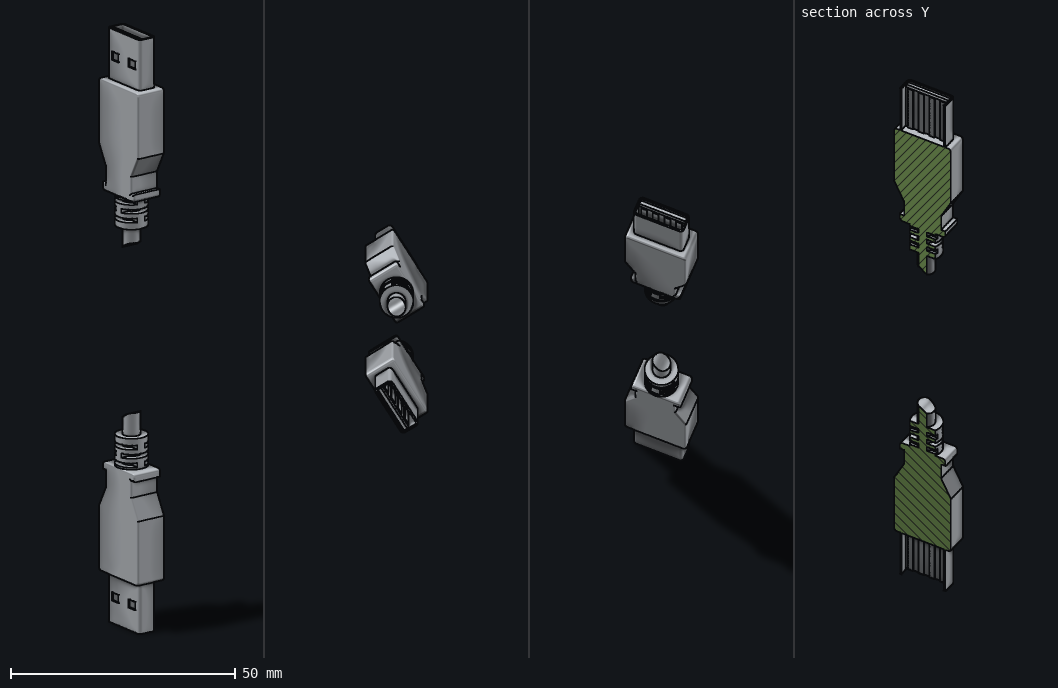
import cadquery as cq

TOTAL_HEIGHT = 139.6

SHELL_WIDTH = 12.0
SHELL_DEPTH = 4.5
SHELL_LENGTH = 11.9
SHELL_CORNER = 0.8
SHELL_WALL = 0.4
CAVITY_WIDTH = SHELL_WIDTH - 2 * SHELL_WALL
CAVITY_DEPTH = SHELL_DEPTH - 2 * SHELL_WALL

TONGUE_DEPTH = 1.3
TONGUE_GAP = 0.35
TONGUE_BEVEL = 0.4
TONGUE_RECESS = 0.3
CONTACT_COUNT = 4
CONTACT_PITCH = 2.8
CONTACT_WIDTH = 1.4
CONTACT_HEIGHT = 0.3

WINDOW_WIDTH = 2.5
WINDOW_HEIGHT = 2.0
WINDOW_SPACING = 6.3
WINDOW_DROP = 6.3

GRIP_WIDTH = 15.0
GRIP_DEPTH = 7.5
GRIP_FACE_ROUND = 0.49
GRIP_END_ROUND = 0.8
NECK_WIDTH = 9.8
COLLAR_WIDTH = 12.0
GRIP_STRAIGHT = 15.4
TAPER_LENGTH = 4.9
NECK_LENGTH = 3.9
COLLAR_LENGTH = 2.0

SLEEVE_DIAMETER = 7.5
SLEEVE_LENGTH = 7.3
SLOT_HEIGHT = 1.0
SLOT_PITCH = 2.1
SLOT_COUNT = 3
FIRST_SLOT_DROP = 1.0
WEB_WIDTH = 2.1

CABLE_DIAMETER = 4.0
PLUG_LENGTH = 50.7
BREAK_HEIGHT = 1.7
BREAK_SAG = 0.21

TONGUE_TOP = TOTAL_HEIGHT - TONGUE_RECESS
GRIP_TOP = TOTAL_HEIGHT - SHELL_LENGTH
TAPER_TOP = GRIP_TOP - GRIP_STRAIGHT
NECK_TOP = TAPER_TOP - TAPER_LENGTH
COLLAR_TOP = NECK_TOP - NECK_LENGTH
GRIP_BOTTOM = COLLAR_TOP - COLLAR_LENGTH
SLEEVE_BOTTOM = GRIP_BOTTOM - SLEEVE_LENGTH
CABLE_BOTTOM = TOTAL_HEIGHT - PLUG_LENGTH


def box(width, depth, bottom, top, x=0, y=0):
    """Upright box centred on (x, y) between two levels."""
    return (
        cq.Workplane("XY", origin=(x, y, bottom))
        .rect(width, depth)
        .extrude(top - bottom)
    )


def make_shell():
    """Thin rectangular shell, open at the top, with two latch windows in its -Y wall."""
    shell = box(SHELL_WIDTH, SHELL_DEPTH, GRIP_TOP, TOTAL_HEIGHT).edges("|Z").fillet(SHELL_CORNER)
    cavity = box(CAVITY_WIDTH, CAVITY_DEPTH, GRIP_TOP, TOTAL_HEIGHT)
    cavity = cavity.edges("|Z").fillet(SHELL_CORNER - SHELL_WALL)
    shell = shell.cut(cavity)

    window_middle = TOTAL_HEIGHT - WINDOW_DROP
    for side in (-1, 1):
        window = box(
            WINDOW_WIDTH,
            2 * SHELL_WALL,
            window_middle - WINDOW_HEIGHT / 2,
            window_middle + WINDOW_HEIGHT / 2,
            side * WINDOW_SPACING / 2,
            -SHELL_DEPTH / 2,
        )
        shell = shell.cut(window)
    return shell


def make_tongue():
    """Tongue across the shell, close to its -Y wall, with raised contacts on its +Y face."""
    back = -CAVITY_DEPTH / 2 + TONGUE_GAP
    front = back + TONGUE_DEPTH
    tongue = box(CAVITY_WIDTH, TONGUE_DEPTH, GRIP_TOP, TONGUE_TOP, y=(back + front) / 2)
    tongue = tongue.faces(">Z").edges(">Y").chamfer(TONGUE_BEVEL)
    contact_top = TONGUE_TOP - TONGUE_BEVEL
    for index in range(CONTACT_COUNT):
        x = (index - (CONTACT_COUNT - 1) / 2) * CONTACT_PITCH
        contact = box(CONTACT_WIDTH, 2 * CONTACT_HEIGHT, GRIP_TOP, contact_top, x, front)
        tongue = tongue.union(contact)
    return tongue


def make_grip():
    """Grip that narrows to a neck and ends in a collar, with rounded outer edges."""
    right_side = [
        (GRIP_WIDTH / 2, GRIP_TOP),
        (GRIP_WIDTH / 2, TAPER_TOP),
        (NECK_WIDTH / 2, NECK_TOP),
        (NECK_WIDTH / 2, COLLAR_TOP),
        (COLLAR_WIDTH / 2, COLLAR_TOP),
        (COLLAR_WIDTH / 2, GRIP_BOTTOM),
    ]
    left_side = [(-x, z) for x, z in reversed(right_side)]
    grip = (
        cq.Workplane("XZ")
        .polyline(right_side + left_side)
        .close()
        .extrude(GRIP_DEPTH / 2, both=True)
    )
    grip = grip.faces("<Z or >Z").edges("|Y").fillet(GRIP_END_ROUND)
    return grip.faces("<Y or >Y").edges().fillet(GRIP_FACE_ROUND)


def make_sleeve():
    """Round sleeve with slots whose webs turn a quarter turn from one level to the next."""
    sleeve = cq.Workplane("XY", origin=(0, 0, SLEEVE_BOTTOM)).circle(SLEEVE_DIAMETER / 2)
    sleeve = sleeve.extrude(SLEEVE_LENGTH)
    for index in range(SLOT_COUNT):
        middle = GRIP_BOTTOM - FIRST_SLOT_DROP - index * SLOT_PITCH
        bottom = middle - SLOT_HEIGHT / 2
        top = middle + SLOT_HEIGHT / 2
        slot = box(SLEEVE_DIAMETER, SLEEVE_DIAMETER, bottom, top)
        if index % 2 == 0:
            web = box(SLEEVE_DIAMETER, WEB_WIDTH, bottom, top)
        else:
            web = box(WEB_WIDTH, SLEEVE_DIAMETER, bottom, top)
        sleeve = sleeve.cut(slot.cut(web))
    return sleeve


def make_cable():
    """Round cable whose broken end is an S-shaped surface, longest on the -X side."""
    radius = CABLE_DIAMETER / 2
    break_top = CABLE_BOTTOM + BREAK_HEIGHT
    break_middle = CABLE_BOTTOM + BREAK_HEIGHT / 2
    cable = cq.Workplane("XY", origin=(0, 0, CABLE_BOTTOM)).circle(radius)
    cable = cable.extrude(GRIP_BOTTOM - CABLE_BOTTOM)
    offcut = (
        cq.Workplane("XZ")
        .moveTo(-radius, CABLE_BOTTOM)
        .sagittaArc((0, break_middle), -BREAK_SAG)
        .sagittaArc((radius, break_top), BREAK_SAG)
        .lineTo(radius, CABLE_BOTTOM)
        .close()
        .extrude(CABLE_DIAMETER, both=True)
    )
    return cable.cut(offcut)


def make_plug():
    """One complete plug, pointing up."""
    plug = make_grip()
    for section in (make_shell(), make_tongue(), make_sleeve(), make_cable()):
        plug = plug.union(section)
    return plug


plugs = []
for turn in (0, 180):
    middle = TOTAL_HEIGHT / 2
    plugs.append(make_plug().rotate((0, 0, middle), (0, 1, middle), turn))

result = cq.Compound.makeCompound([plug.val() for plug in plugs])